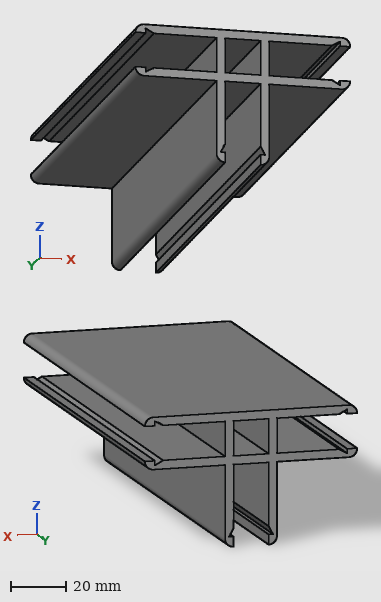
import cadquery as cq

length = 152.4
width = 80.3
height = 49.8

wall = 3.2
flange_gap = 13.0
leg_gap = 13.3

hook_width = 3.8
groove_depth = 1.7
ramp_run = 3.0

half_width = width / 2
lower_flange_top = -(wall + flange_gap)


def hooked_wall(start, wall_length):
    """Wall lying along +X with its grooved face up and its tip rounded below.

    It runs from x = start to x = wall_length, with the grooved face at z = 0.
    """
    groove_start = wall_length - hook_width
    return (
        cq.Workplane("XZ", origin=(0, length / 2, 0))
        .moveTo(start, 0)
        .lineTo(groove_start - ramp_run, 0)
        .lineTo(groove_start, -groove_depth)
        .lineTo(groove_start, 0)
        .lineTo(wall_length, 0)
        .radiusArc((wall_length - wall, -wall), wall)
        .lineTo(start, -wall)
        .close()
        .extrude(length)
    )


def mirrored_pair(body):
    return body.union(body.mirror("YZ"))


half_flange = hooked_wall(0, half_width)
upper_flange = mirrored_pair(half_flange.mirror("XY").translate((0, 0, -wall)))
lower_flange = mirrored_pair(half_flange.translate((0, 0, lower_flange_top)))

right_leg = (
    hooked_wall(wall / 2, height)
    .rotate((0, 0, 0), (0, 1, 0), 90)
    .mirror("YZ")
    .translate((leg_gap / 2, 0, 0))
)
legs = mirrored_pair(right_leg)

result = upper_flange.union(lower_flange).union(legs).clean()